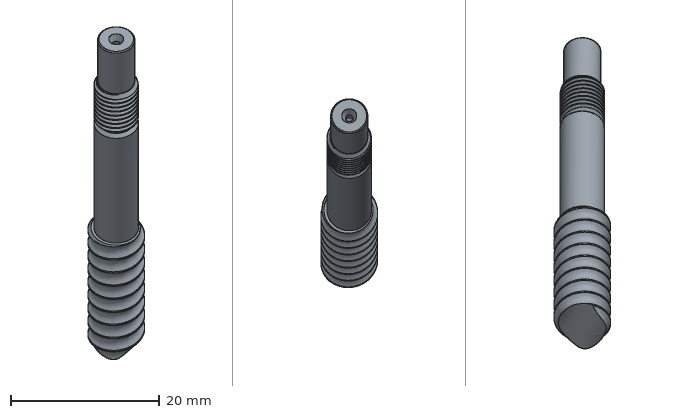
import cadquery as cq
import math

TOTAL_LENGTH = 57.75
TIP_LENGTH = 7.95
FINE_ZONE_LENGTH = 7.95
BODY_LENGTH = 20.0
TIP_BASE = TOTAL_LENGTH - TIP_LENGTH
BODY_TOP = TIP_BASE - FINE_ZONE_LENGTH
BONE_TOP = BODY_TOP - BODY_LENGTH

TIP_RADIUS = 5.0 / 2
TIP_CHAMFER = 0.2
BODY_RADIUS = 6.0 / 2
NECK_RADIUS = 4.9 / 2
SHOULDER_HEIGHT = 0.4

FINE_LENGTH = 7.4
FINE_PITCH = 7.05 / 9
FINE_ROOT_RADIUS = 5.15 / 2
FINE_GROOVE_WIDTH = 0.6
FINE_GROOVE_LEVEL = 47.35
FINE_BEVEL_RADIUS = NECK_RADIUS

BONE_RADIUS = 7.7 / 2
BONE_ROOT_RADIUS = 6.4 / 2
BONE_PITCH = 20.0 / 8
BONE_CREST_WIDTH = 0.3
BONE_GROOVE_WIDTH = BONE_PITCH - BONE_CREST_WIDTH
BONE_GROOVE_LEVEL = 18.5
BONE_CHAMFER = 0.435

CENTRE_MOUTH_RADIUS = 2.0 / 2
CENTRE_PILOT_RADIUS = 1.0 / 2
COUNTERSINK_HALF_ANGLE = 30.0
PILOT_POINT_HALF_ANGLE = 59.0
PILOT_LENGTH = 1.15

WAVE_CREST_Y = 1.95
WAVE_CREST_Z = 1.5
WAVE_TROUGH_Y = -2.0
WAVE_STEPS = 40

GROOVE_OVERSHOOT = 0.05
BEVEL_OVERSHOOT = 0.2
OVERSHOOT = 0.6


def cylinder(radius, bottom, top):
    return cq.Workplane("XY").workplane(offset=bottom).circle(radius).extrude(top - bottom)


def helix_start(pitch, level, bottom):
    """Height below bottom from which whole turns lead up to a groove centre at level."""
    turns_below = math.ceil((level - bottom) / pitch) + 1
    return level - turns_below * pitch


def v_groove(bottom, top):
    """V cutter of three right-handed helical faces, running past both ends of the fine thread."""
    start = helix_start(FINE_PITCH, FINE_GROOVE_LEVEL, bottom)
    height = top + FINE_PITCH - start
    mouth_radius = BODY_RADIUS + GROOVE_OVERSHOOT
    depth = BODY_RADIUS - FINE_ROOT_RADIUS
    half_mouth = FINE_GROOVE_WIDTH / 2 * (mouth_radius - FINE_ROOT_RADIUS) / depth
    corners = [
        (mouth_radius, start - half_mouth),
        (FINE_ROOT_RADIUS, start),
        (mouth_radius, start + half_mouth),
    ]
    edges = [
        cq.Wire.makeHelix(FINE_PITCH, height, radius, center=cq.Vector(0, 0, z)).Edges()[0]
        for radius, z in corners
    ]
    faces = []
    for edge, next_edge in zip(edges, edges[1:] + edges[:1]):
        faces.append(cq.Face.makeRuledSurface(edge, next_edge))
    for end in (0, 1):
        triangle = [edge.positionAt(end) for edge in edges]
        faces.append(cq.Face.makeFromWires(cq.Wire.makePolygon(triangle, close=True)))
    return cq.Workplane(obj=cq.Solid.makeSolid(cq.Shell.makeShell(faces)))


def end_bevel(end, inward):
    """Ring that bevels a fine thread end at height end; inward is +1 or -1 along Z."""
    inner = (FINE_BEVEL_RADIUS - BEVEL_OVERSHOOT, end - inward * BEVEL_OVERSHOOT)
    reach = BODY_RADIUS - FINE_BEVEL_RADIUS + BEVEL_OVERSHOOT
    outer_radius = BODY_RADIUS + BEVEL_OVERSHOOT
    outline = [inner, (outer_radius, inner[1]), (outer_radius, end + inward * reach)]
    return cq.Workplane("XZ").polyline(outline).close().revolve(360, (0, 0), (0, 1))


def fine_thread():
    bottom = TIP_BASE - FINE_LENGTH
    thread = cylinder(BODY_RADIUS, bottom, TIP_BASE).cut(v_groove(bottom, TIP_BASE))
    return thread.cut(end_bevel(bottom, 1)).cut(end_bevel(TIP_BASE, -1))


def round_groove(bottom, top):
    """Right-handed helical cutter of arc section, running past both ends of the bone thread."""
    start = helix_start(BONE_PITCH, BONE_GROOVE_LEVEL, bottom)
    height = top + BONE_PITCH - start
    depth = BONE_RADIUS - BONE_ROOT_RADIUS
    arc_radius = ((BONE_GROOVE_WIDTH / 2) ** 2 + depth ** 2) / (2 * depth)
    mouth_radius = BONE_RADIUS + GROOVE_OVERSHOOT
    mouth_offset = BONE_ROOT_RADIUS + arc_radius - mouth_radius
    half_mouth = math.sqrt(arc_radius ** 2 - mouth_offset ** 2)
    section = (
        cq.Workplane("XZ")
        .moveTo(mouth_radius, start - half_mouth)
        .threePointArc((BONE_ROOT_RADIUS, start), (mouth_radius, start + half_mouth))
        .close()
    )
    helix = cq.Wire.makeHelix(BONE_PITCH, height, BONE_RADIUS, center=cq.Vector(0, 0, start))
    return section.sweep(cq.Workplane(obj=helix), isFrenet=True)


def bone_thread():
    blank = cylinder(BONE_RADIUS, 0, BONE_TOP).faces(">Z").chamfer(BONE_CHAMFER)
    return blank.cut(round_groove(0, BONE_TOP))


def plain_core():
    """Turned core: shank, shoulder cone, undercut and pin."""
    shoulder_top = BODY_TOP + SHOULDER_HEIGHT
    outline = [
        (0, BONE_TOP),
        (BODY_RADIUS, BONE_TOP),
        (BODY_RADIUS, BODY_TOP),
        (NECK_RADIUS, shoulder_top),
        (NECK_RADIUS, TIP_BASE),
        (TIP_RADIUS, TIP_BASE),
        (TIP_RADIUS, TOTAL_LENGTH - TIP_CHAMFER),
        (TIP_RADIUS - TIP_CHAMFER, TOTAL_LENGTH),
        (0, TOTAL_LENGTH),
    ]
    return cq.Workplane("XZ").polyline(outline).close().revolve(360, (0, 0), (0, 1))


def centre_hole():
    """Countersunk pilot hole with a drill point."""
    sink_width = CENTRE_MOUTH_RADIUS - CENTRE_PILOT_RADIUS
    sink_depth = sink_width / math.tan(math.radians(COUNTERSINK_HALF_ANGLE))
    point_depth = CENTRE_PILOT_RADIUS / math.tan(math.radians(PILOT_POINT_HALF_ANGLE))
    sink_bottom = TOTAL_LENGTH - sink_depth
    pilot_bottom = sink_bottom - PILOT_LENGTH
    outline = [
        (0, TOTAL_LENGTH),
        (CENTRE_MOUTH_RADIUS, TOTAL_LENGTH),
        (CENTRE_PILOT_RADIUS, sink_bottom),
        (CENTRE_PILOT_RADIUS, pilot_bottom),
        (0, pilot_bottom - point_depth),
    ]
    return cq.Workplane("XZ").polyline(outline).close().revolve(360, (0, 0), (0, 1))


def wavy_end():
    """Cutter for the lower end: the space below one cosine wave, constant along X."""
    half_wave = WAVE_CREST_Y - WAVE_TROUGH_Y
    reach = BONE_RADIUS + OVERSHOOT

    def wave_point(t):
        y = reach * (2 * t - 1)
        z = WAVE_CREST_Z / 2 * (1 + math.cos(math.pi * (y - WAVE_CREST_Y) / half_wave))
        return (y, z, 0)

    return (
        cq.Workplane("YZ")
        .parametricCurve(wave_point, N=WAVE_STEPS, makeWire=False)
        .lineTo(reach, -OVERSHOOT)
        .lineTo(-reach, -OVERSHOOT)
        .close()
        .extrude(reach, both=True)
    )


result = (
    plain_core()
    .union(fine_thread())
    .union(bone_thread().cut(wavy_end()))
    .cut(centre_hole())
)